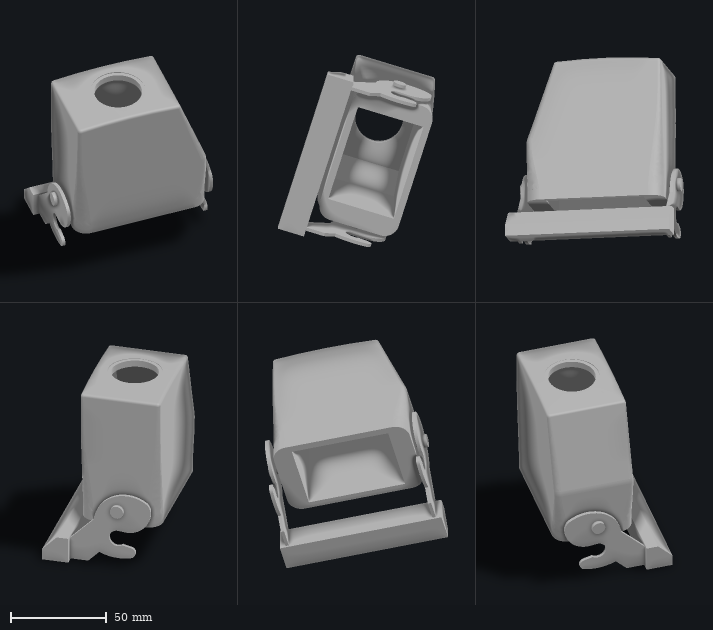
import cadquery as cq
import math


HOOD_LENGTH_X = 43.1
HOOD_WIDTH_Y = 73.1
HOOD_HEIGHT = 74.8
SKIRT_HEIGHT = 5.6
WALL_DRAFT = 0.75
KNEE_HEIGHT = 32.1
SLOPE_ANGLE = 20
KNEE_RADIUS = 8.3
CROWN_RADIUS = 293.4
SKIRT_CORNER_RADIUS = 7.6
MIDDLE_CORNER_RADIUS = 3.2
MIDDLE_HEIGHT = 40.1
TOP_CORNER_RADIUS = 1.7

TOLERANCE = 0.01

ENTRY_Y = -5.9
ENTRY_DIAMETER = 25.0
SEAT_DIAMETER = 28.9
SEAT_DEPTH = 0.5
CAVITY_WALL = 3.6
SLOPE_WALL = 4.1
CAVITY_WIDTH_Y = 51.8

PIVOT_HEIGHT = 9.8
HANDLE_LENGTH_Y = 87
HANDLE_SIZE = 14.1
HANDLE_CHAMFER = 7.8
HANDLE_LEFT_X = -39.9
OVERALL_HEIGHT = 97.8
HANDLE_BOTTOM = HOOD_HEIGHT - OVERALL_HEIGHT
ARM_THICKNESS = 1.8
ARM_OUTER_Y = 40.5
ARM_LIFT = 1.1
PIN_DIAMETER = 5.1
PIN_HEAD_DIAMETER = 7.0
PIN_HEAD_END_Y = 42.5
NOTCH_DROP = 16.2
NOTCH_RADIUS = 4.5

CROWN_START = (-12.9, -6.8)
CROWN_TOP = (5.1, 9.4)
CROWN_END = (15.4, 6.2)
NOSE_MIDDLE = (17.0, 4.3)
NOSE_END = (17.8, 1.5)
LOBE_MIDDLE = (14.2, -8.4)
LOBE_END = (2.3, -11.9)
NOTCH_START = (1, -11.8)
NOTCH_END = (2.6, -20.0)
FINGER_TIP_START = (7.2, -21.0)
FINGER_TIP = (9.7, -23.9)
FINGER_TIP_END = (7.3, -27.0)
FINGER_BELLY = (0.5, -27.9)
FINGER_ROOT = (-9.9, -25.7)


def wall_y(z):
    """Distance of the drafted end walls from the middle at height z."""
    return HOOD_WIDTH_Y / 2 - (z - SKIRT_HEIGHT) * math.tan(math.radians(WALL_DRAFT))


def slope_y(z):
    """Y of the sloped outer face at height z."""
    return wall_y(KNEE_HEIGHT) - (z - KNEE_HEIGHT) * math.tan(math.radians(SLOPE_ANGLE))


def crown_z(y):
    """Height of the arched top face, highest over the cable entry."""
    return HOOD_HEIGHT - CROWN_RADIUS + math.sqrt(CROWN_RADIUS**2 - (y - ENTRY_Y) ** 2)


def corner_radius(z):
    """Radius of the upright corners at the end points of their edges: skirt, middle or top."""
    if z <= SKIRT_HEIGHT + TOLERANCE:
        return SKIRT_CORNER_RADIUS
    if z <= MIDDLE_HEIGHT + TOLERANCE:
        return MIDDLE_CORNER_RADIUS
    return TOP_CORNER_RADIUS


def round_upright_corners(block):
    """Fillet the upright corners of the block with a radius that shrinks towards the top."""
    shape = block.val()
    fillet = cq.occ_impl.shapes.BRepFilletAPI_MakeFillet(shape.wrapped)
    for edge in block.faces("<X or >X").edges().vals():
        box = edge.BoundingBox()
        rises_from_skirt = box.zmin < SKIRT_HEIGHT + TOLERANCE < box.zmax - TOLERANCE
        if not rises_from_skirt:
            continue
        fillet.Add(SKIRT_CORNER_RADIUS, edge.wrapped)
        corner = fillet.Contour(edge.wrapped)
        for place in range(1, fillet.NbEdges(corner) + 1):
            for point in cq.Edge(fillet.Edge(corner, place)).Vertices():
                fillet.SetRadius(corner_radius(point.Z), corner, point.wrapped)
    return cq.Workplane(cq.Shape.cast(fillet.Shape()))


def make_upper_shell():
    """Drafted upper part of the hood: arched top, sloped face, rounded edges.

    The -Y wall is split at MIDDLE_HEIGHT so that its corner radii can be set there; the final
    clean() joins the two halves of the wall again.
    """
    knee = (0, wall_y(KNEE_HEIGHT), KNEE_HEIGHT)
    front_top = crown_z(-wall_y(HOOD_HEIGHT))
    slope_top = crown_z(slope_y(HOOD_HEIGHT))
    block = (
        cq.Workplane("YZ", origin=(-HOOD_LENGTH_X / 2, 0, 0))
        .moveTo(-wall_y(MIDDLE_HEIGHT), MIDDLE_HEIGHT)
        .lineTo(-wall_y(SKIRT_HEIGHT), SKIRT_HEIGHT)
        .lineTo(wall_y(SKIRT_HEIGHT), SKIRT_HEIGHT)
        .lineTo(wall_y(KNEE_HEIGHT), KNEE_HEIGHT)
        .lineTo(slope_y(slope_top), slope_top)
        .threePointArc((ENTRY_Y, HOOD_HEIGHT), (-wall_y(front_top), front_top))
        .close()
        .extrude(HOOD_LENGTH_X, clean=False)
    )
    knee_edge = block.edges(cq.selectors.NearestToPointSelector(knee)).val()
    block = cq.Workplane(block.val().fillet(KNEE_RADIUS, [knee_edge]))
    top = cq.selectors.NearestToPointSelector((0, ENTRY_Y, HOOD_HEIGHT))
    return round_upright_corners(block).faces(top).edges().fillet(TOP_CORNER_RADIUS).clean()


def make_cavity():
    """Straight cavity, open at the bottom, following the slope at a constant wall thickness."""
    half_width = CAVITY_WIDTH_Y / 2
    roof = HOOD_HEIGHT - SEAT_DEPTH - CAVITY_WALL
    slope_shift = SLOPE_WALL / math.cos(math.radians(SLOPE_ANGLE))
    roof_y = slope_y(roof) - slope_shift
    knee_height = roof - (half_width - roof_y) / math.tan(math.radians(SLOPE_ANGLE))
    depth_x = HOOD_LENGTH_X - 2 * CAVITY_WALL
    return (
        cq.Workplane("YZ", origin=(-depth_x / 2, 0, 0))
        .moveTo(-half_width, 0)
        .lineTo(half_width, 0)
        .lineTo(half_width, knee_height)
        .lineTo(roof_y, roof)
        .lineTo(-half_width, roof)
        .close()
        .extrude(depth_x)
    )


def make_hood():
    skirt = (
        cq.Workplane("XY")
        .rect(HOOD_LENGTH_X, HOOD_WIDTH_Y)
        .extrude(SKIRT_HEIGHT)
        .edges("|Z")
        .fillet(SKIRT_CORNER_RADIUS)
    )
    entry = cq.Workplane("XY").center(0, ENTRY_Y).circle(ENTRY_DIAMETER / 2).extrude(HOOD_HEIGHT)
    seat = (
        cq.Workplane("XY", origin=(0, ENTRY_Y, HOOD_HEIGHT - SEAT_DEPTH))
        .circle(SEAT_DIAMETER / 2)
        .extrude(2 * SEAT_DEPTH)
    )
    body = skirt.union(make_upper_shell(), clean=False)
    for opening in (make_cavity(), entry, seat):
        body = body.cut(opening, clean=False)
    return body


def make_handle():
    """Bar across the hood with one long chamfer."""
    return (
        cq.Workplane("XY")
        .box(HANDLE_SIZE, HANDLE_LENGTH_Y, HANDLE_SIZE, centered=(False, True, False))
        .translate((HANDLE_LEFT_X, 0, HANDLE_BOTTOM))
        .edges("<X and >Z")
        .chamfer(HANDLE_CHAMFER)
    )


def make_arm():
    """Flat arm on the +Y side: cam-shaped head, round notch and curved finger.

    The outline is measured from the pivot axis.
    """
    handle_x = HANDLE_LEFT_X + HANDLE_SIZE
    underside = HANDLE_BOTTOM + ARM_LIFT - PIVOT_HEIGHT
    shank_top = (handle_x, CROWN_START[1] - (CROWN_START[0] - handle_x))
    shank_toe = (FINGER_ROOT[0] - (FINGER_ROOT[1] - underside), underside)
    return (
        cq.Workplane("XZ", origin=(0, ARM_OUTER_Y, PIVOT_HEIGHT))
        .moveTo(handle_x, underside)
        .lineTo(*shank_top)
        .lineTo(*CROWN_START)
        .threePointArc(CROWN_TOP, CROWN_END)
        .threePointArc(NOSE_MIDDLE, NOSE_END)
        .threePointArc(LOBE_MIDDLE, LOBE_END)
        .lineTo(*NOTCH_START)
        .threePointArc((-NOTCH_RADIUS, -NOTCH_DROP), NOTCH_END)
        .lineTo(*FINGER_TIP_START)
        .threePointArc(FINGER_TIP, FINGER_TIP_END)
        .threePointArc(FINGER_BELLY, FINGER_ROOT)
        .lineTo(*shank_toe)
        .close()
        .extrude(ARM_THICKNESS)
    )


def make_pin():
    """Headed pivot pin on the +Y side, from the hood wall out through the arm."""
    base = cq.Workplane("XZ", origin=(0, PIN_HEAD_END_Y, PIVOT_HEIGHT))
    head = base.circle(PIN_HEAD_DIAMETER / 2).extrude(PIN_HEAD_END_Y - ARM_OUTER_Y)
    neck_end_y = wall_y(PIVOT_HEIGHT + PIN_DIAMETER)
    neck = base.circle(PIN_DIAMETER / 2).extrude(PIN_HEAD_END_Y - neck_end_y)
    return head.union(neck)


def make_lever(hood):
    """Handle, two arms and two pins in one piece; the pins end flush on the drafted hood walls."""
    side = make_arm().union(make_pin())
    return make_handle().union(side).union(side.mirror("XZ")).cut(hood)


hood = make_hood()
lever = make_lever(hood)
result = cq.Compound.makeCompound([hood.solids().val(), lever.solids().val()])